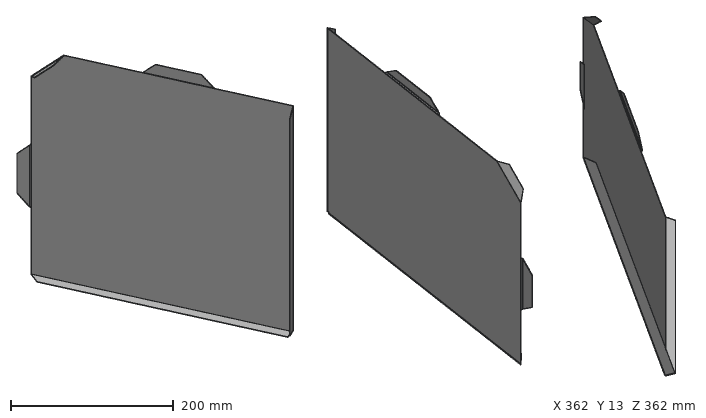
import cadquery as cq
import math

thickness = 0.75
plate_side = 344.0
corner_cut = 42.5
depth = 13.0
corner_relief = 2.5

tab_reach = 18.0
tab_tip_width = 60.0
tab_offset = 1.75
tab_root_width = 97.0
tab_edge_distance = 150.5

mitre = depth - thickness
cut_length = corner_cut * math.sqrt(2)


def plate():
    """Square sheet with the upper left corner cut off."""
    outline = [
        (0, 0),
        (plate_side, 0),
        (plate_side, plate_side),
        (corner_cut, plate_side),
        (0, plate_side - corner_cut),
    ]
    return cq.Workplane("XZ").polyline(outline).close().extrude(thickness)


def flange(start, angle, length, start_mitre, end_mitre):
    """Flange along an edge that leaves `start` (x, z) at `angle` degrees, the plate on its left."""
    outline = [
        (0, 0),
        (length, 0),
        (length, -thickness),
        (length - end_mitre, -depth),
        (start_mitre, -depth),
        (0, -thickness),
    ]
    flat = cq.Workplane("XY").polyline(outline).close().extrude(thickness)
    turned = flat.rotate((0, 0, 0), (0, 1, 0), -angle)
    return turned.translate((start[0], 0, start[1]))


def tab():
    """Tapered tab rising from a plate edge at Z = 0, set forward by a 45 degree step."""
    section = [
        (0, -thickness),
        (0, 0),
        (-tab_offset, tab_offset),
        (-tab_offset, tab_reach),
        (-tab_offset - thickness, tab_reach),
        (-tab_offset - thickness, tab_offset),
        (-thickness, 0),
        (-thickness, -thickness),
    ]
    strip = (
        cq.Workplane("YZ")
        .polyline(section).close()
        .extrude(tab_root_width / 2, both=True)
    )
    half_root = tab_root_width / 2
    half_tip = tab_tip_width / 2
    taper = [
        (-half_root, -thickness),
        (half_root, -thickness),
        (half_root, 0),
        (half_tip, tab_reach),
        (-half_tip, tab_reach),
        (-half_root, 0),
    ]
    return strip.intersect(cq.Workplane("XZ").polyline(taper).close().extrude(depth))


def relief():
    """Block that clears the lower right corner through the full depth."""
    block = cq.Workplane("XY").box(corner_relief, depth, corner_relief, centered=False)
    return block.translate((plate_side - corner_relief, -depth, 0))


lower_flange = flange((0, 0), 0, plate_side, mitre, 0)
right_flange = flange((plate_side, 0), 90, plate_side, 0, mitre)
corner_flange = flange((corner_cut, plate_side), 225, cut_length, mitre, mitre)

panel = plate().union(lower_flange).union(right_flange).union(corner_flange)
panel = panel.cut(relief())

upper_tab = tab().translate((plate_side - tab_edge_distance, 0, plate_side))
left_tab = tab().rotate((0, 0, 0), (0, 1, 0), -90).translate((0, 0, tab_edge_distance))

result = panel.union(upper_tab).union(left_tab)